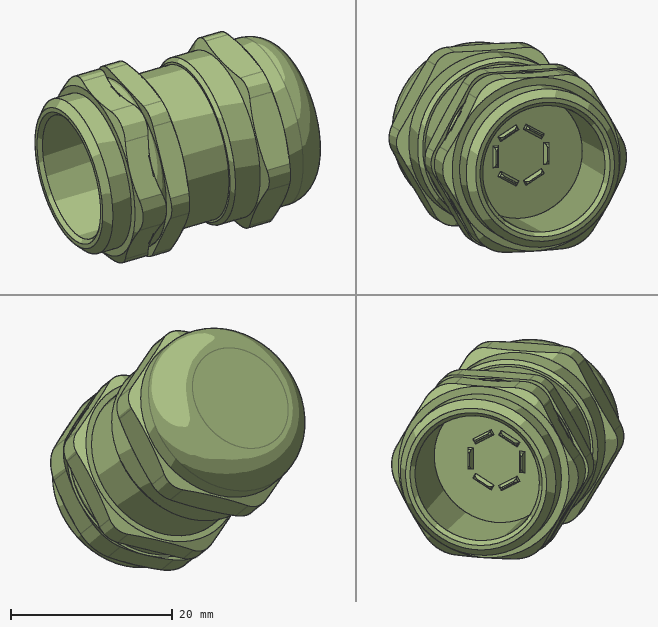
import cadquery as cq
import math

total_length = 31.15

hex_sides = 6
across_flats = 22.0
across_corners = across_flats / math.cos(math.pi / hex_sides)
collar_corner_radius = 3.0
locknut_corner_radius = 4.5
hex_chamfer_angle = 20.0

body_diameter = 20.0
body_radius = body_diameter / 2
mouth_chamfer = 0.95
bore_diameter = 16.0
bore_depth = 9.47
bore_chamfer = 0.5

locknut_start = 3.52
locknut_chamfer_radius = 10.97
locknut_chamfer_angle = 30.0
seat_start = 6.55
seat_angle = 40.0
locknut_rim = 7.63
ring_radius = 10.97
ring_thickness = 2.0
ring_center = 7.42
collar_start = 8.0
collar_height = 3.02

cap_diameter = 21.6
cap_radius = cap_diameter / 2
cap_start = 17.17
cap_chamfer = 0.5
cap_hex_start = 21.13
cap_hex_height = 4.02
dome_radius = 4.02

ridge_count = 6
ridge_inner_radius = 2.95
ridge_outer_radius = 3.68
ridge_length = 2.75
ridge_height = 0.62
ridge_inner_slope = 0.3
ridge_outer_slope = 0.22
ridge_end_slope = 0.22
ridge_crest_chamfer = 0.28


def cylinder(radius, start, end):
    """Cylinder about the Y axis from start to end."""
    return cq.Workplane("XZ", origin=(0, start, 0)).circle(radius).extrude(start - end)


def revolved(points):
    """Solid of revolution about Y from (radius, y) points."""
    return cq.Workplane("XY").polyline(points).close().revolve(360, (0, 0), (0, 1))


def hex_prism(start, end, corner_radius):
    """Hexagonal prism about the Y axis with rounded corners."""
    outline = cq.Workplane("XZ", origin=(0, start, 0)).polygon(hex_sides, across_corners)
    prism = outline.extrude(start - end)
    return prism.edges("|Y").fillet(corner_radius)


def cone_envelope(start, end, chamfer_radius, start_rise, end_rise):
    """Oversized disc whose end faces turn conical outside the chamfer radius.

    Each rise is the tangent of the cone angle: positive makes the rim thinner, negative thicker.
    """
    reach = across_flats - chamfer_radius
    return revolved([
        (0, start),
        (chamfer_radius, start),
        (across_flats, start + reach * start_rise),
        (across_flats, end - reach * end_rise),
        (chamfer_radius, end),
        (0, end),
    ])


def make_body():
    barrel = cylinder(body_radius, 0, total_length - dome_radius)
    return barrel.faces("<Y").chamfer(mouth_chamfer)


def make_locknut():
    prism = hex_prism(locknut_start, locknut_rim, locknut_corner_radius)
    chamfer_rise = math.tan(math.radians(locknut_chamfer_angle))
    seat_rise = math.tan(math.radians(seat_angle))
    envelope = cone_envelope(locknut_start, seat_start, locknut_chamfer_radius, chamfer_rise, -seat_rise)
    return prism.intersect(envelope)


def make_sealing_ring():
    half_thickness = ring_thickness / 2
    core_radius = ring_radius - half_thickness
    section = (
        cq.Workplane("XY")
        .moveTo(core_radius, ring_center - half_thickness)
        .threePointArc((ring_radius, ring_center), (core_radius, ring_center + half_thickness))
        .lineTo(0, ring_center + half_thickness)
        .lineTo(0, ring_center - half_thickness)
        .close()
    )
    return section.revolve(360, (0, 0), (0, 1))


def make_collar():
    collar_end = collar_start + collar_height
    prism = hex_prism(collar_start, collar_end, collar_corner_radius)
    chamfer_rise = math.tan(math.radians(hex_chamfer_angle))
    return prism.intersect(cone_envelope(collar_start, collar_end, cap_radius, 0, chamfer_rise))


def make_cap_nut():
    cap = cylinder(cap_radius, cap_start, total_length)
    cap = cap.faces("<Y").edges().chamfer(cap_chamfer)
    cap = cap.faces(">Y").edges().fillet(dome_radius)
    hex_end = cap_hex_start + cap_hex_height
    prism = hex_prism(cap_hex_start, hex_end, collar_corner_radius)
    chamfer_rise = math.tan(math.radians(hex_chamfer_angle))
    envelope = cone_envelope(cap_hex_start, hex_end, cap_radius, chamfer_rise, chamfer_rise)
    return cap.union(prism.intersect(envelope))


def make_bore():
    bore_radius = bore_diameter / 2
    return revolved([
        (0, 0),
        (bore_radius + bore_chamfer, 0),
        (bore_radius, bore_chamfer),
        (bore_radius, bore_depth),
        (0, bore_depth),
    ])


def make_ridge():
    """Tapered ridge on the +X side, rising from the bore floor toward -Y."""
    width = ridge_outer_radius - ridge_inner_radius
    wedge = cq.Solid.makeWedge(
        width, ridge_height, ridge_length,
        ridge_inner_slope, ridge_end_slope,
        width - ridge_outer_slope, ridge_length - ridge_end_slope,
    )
    ridge = cq.Workplane(wedge).faces(">Y").edges("|X").chamfer(ridge_crest_chamfer)
    upright = ridge.rotate((0, 0, 0), (1, 0, 0), 180)
    return upright.translate((ridge_inner_radius, bore_depth, ridge_length / 2))


result = make_body().union(make_locknut()).union(make_sealing_ring())
result = result.union(make_collar()).union(make_cap_nut()).cut(make_bore())
for index in range(ridge_count):
    turn = index * 360 / ridge_count
    result = result.union(make_ridge().rotate((0, 0, 0), (0, 1, 0), turn))